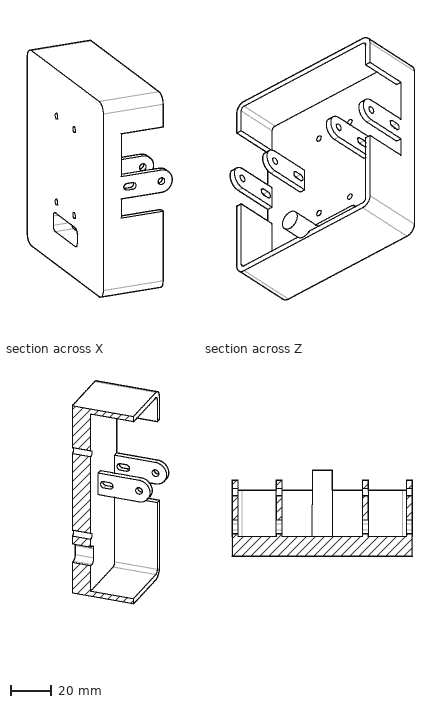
import cadquery as cq

width = 90.0
height = 104.2
body_depth = 33.0
corner_radius = 5.0
wall = 3.0
plate_thickness = 10.0

notch_top = 34.9
notch_bottom = -10.0

tab_height = 12.0
tab_radius = tab_height / 2
tab_z = 6.1
tab_tip_y = 38.0
tab_hole_y = tab_tip_y - tab_radius
tab_hole_diameter = 3.5
tab_slot_y = 14.7
tab_slot_length = 6.7
inner_tab_outer_face = 23.0
tab_starts_x = [
    -width / 2,
    -inner_tab_outer_face,
    inner_tab_outer_face - wall,
    width / 2 - wall,
]

post_diameter = 10.0
post_tip_y = 43.0
post_z = -45.7

screw_diameter = 3.0
screw_spacing_x = 20.8
screw_spacing_z = 45.8
screw_center_z = 4.2
window_width = 28.3
window_height = 10.0
window_radius = 2.5
window_z = -29.9


def box_between(x_range, y_range, z_range):
    """Box spanning the given (low, high) ranges."""
    (x0, x1), (y0, y1), (z0, z1) = x_range, y_range, z_range
    return cq.Workplane("XY").box(x1 - x0, y1 - y0, z1 - z0, centered=False).translate((x0, y0, z0))


def facing_back(y, z=0):
    """XZ sketch plane at depth y; positive extrusion runs towards -Y."""
    return cq.Workplane("XZ", origin=(0, y, z))


def make_tray():
    """Thick front plate with a rounded rim of side walls, notched on both sides."""
    tray = facing_back(body_depth).rect(width, height).extrude(body_depth).edges("|Y").fillet(corner_radius)
    cavity = (
        facing_back(body_depth)
        .rect(width - 2 * wall, height - 2 * wall)
        .extrude(body_depth - plate_thickness)
        .edges("|Y")
        .fillet(corner_radius - wall)
    )
    notch = box_between(
        (-width / 2, width / 2),
        (plate_thickness, body_depth),
        (notch_bottom, notch_top),
    )
    return tray.cut(cavity).cut(notch)


def make_tab(start_x):
    """Round-ended tab with a hole near the tip and a slot near the root."""
    sketch_plane = cq.Workplane("YZ", origin=(start_x, 0, tab_z))
    tab = (
        sketch_plane.moveTo(plate_thickness / 2, -tab_radius)
        .lineTo(tab_hole_y, -tab_radius)
        .threePointArc((tab_tip_y, 0), (tab_hole_y, tab_radius))
        .lineTo(plate_thickness / 2, tab_radius)
        .close()
        .extrude(wall)
    )
    hole = sketch_plane.center(tab_hole_y, 0).circle(tab_hole_diameter / 2).extrude(wall)
    slot = sketch_plane.center(tab_slot_y, 0).slot2D(tab_slot_length, tab_hole_diameter).extrude(wall)
    return tab.cut(hole).cut(slot)


def make_post():
    """Cylinder rising from inside the plate to beyond the rim."""
    root_y = plate_thickness / 2
    return facing_back(post_tip_y, post_z).circle(post_diameter / 2).extrude(post_tip_y - root_y)


def make_plate_openings():
    """Four screw holes and a rounded window."""
    screws = (
        facing_back(plate_thickness, screw_center_z)
        .rect(screw_spacing_x, screw_spacing_z, forConstruction=True)
        .vertices()
        .circle(screw_diameter / 2)
        .extrude(plate_thickness)
    )
    window = (
        facing_back(plate_thickness, window_z)
        .rect(window_width, window_height)
        .extrude(plate_thickness)
        .edges("|Y")
        .fillet(window_radius)
    )
    return screws.union(window)


result = make_tray().union(make_post())
for tab_start_x in tab_starts_x:
    result = result.union(make_tab(tab_start_x))
result = result.cut(make_plate_openings())